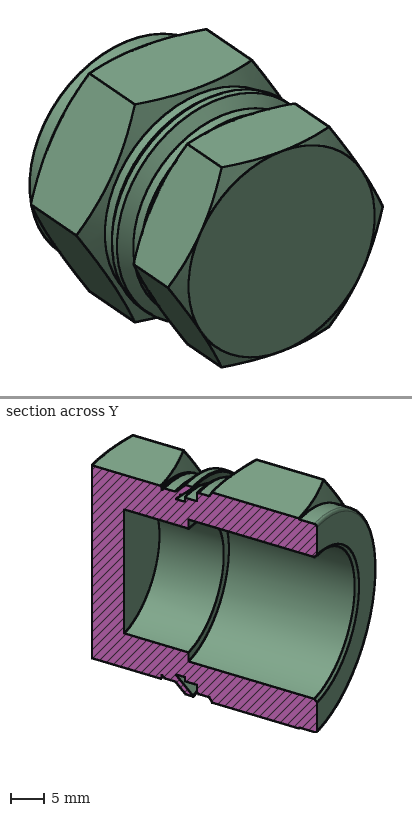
import cadquery as cq
import math

NUT_START = 3.05
NUT_COLLAR_START = 18.48
NUT_END = 20.6
FLANGE_START = 21.25
FLANGE_END = 22.52
NECK_LAND_END = 22.65
BODY_HEX_START = 26.6
LENGTH = 38.55

FRONT_COLLAR_DIA = 37.8
NUT_COLLAR_DIA = 36.5
GROOVE_DIA = 33.35
RECESS_NECK_DIA = 31.85
FLANGE_DIA = 38.0
SHOULDER_DIA = 34.5

NUT_ACROSS_CORNERS = 44.0
BODY_ACROSS_FLATS = 34.97
BODY_ACROSS_CORNERS = BODY_ACROSS_FLATS / math.cos(math.pi / 6)
HEX_CHAMFER_ANGLE = math.radians(30)

FLANGE_LIP = 0.2

FRONT_FILLET = 0.5
EDGE_CHAMFER = 0.5
NUT_END_CHAMFER_LENGTH = 0.3
NUT_END_CHAMFER_DEPTH = 0.18

SOCKET_DIA = 25.6
SOCKET_DEPTH = 22.0
INNER_BORE_DIA = 22.35
INNER_BORE_DEPTH = 33.0


def revolve_profile(points):
    """Turn a closed outline of (x, radius) points about the X axis."""
    return cq.Workplane("XY").polyline(points).close().revolve(360, (0, 0, 0), (1, 0, 0))


def cylinder(dia, start, end):
    """Cylinder about the X axis."""
    return cq.Workplane("YZ").workplane(offset=start).circle(dia / 2).extrude(end - start)


def chamfered_hex(across_corners, start, end, start_dia, end_dia):
    """Hexagon along X whose corners are cut back by a cone at each end."""
    corner_radius = across_corners / 2
    slope = math.tan(HEX_CHAMFER_ANGLE)
    start_run = (corner_radius - start_dia / 2) * slope
    end_run = (corner_radius - end_dia / 2) * slope
    prism = cq.Workplane("YZ").workplane(offset=start).polygon(6, across_corners).extrude(end - start)
    envelope = revolve_profile([
        (start, 0),
        (start, start_dia / 2),
        (start + start_run, corner_radius),
        (end - end_run, corner_radius),
        (end, end_dia / 2),
        (end, 0),
    ])
    return prism.intersect(envelope)


def make_nut():
    """Compression nut: front collar, hexagon and rear collar."""
    front_collar = cylinder(FRONT_COLLAR_DIA, 0, NUT_START).faces("<X").edges().fillet(FRONT_FILLET)
    hexagon = chamfered_hex(
        NUT_ACROSS_CORNERS, NUT_START, NUT_COLLAR_START, FRONT_COLLAR_DIA, NUT_COLLAR_DIA
    )
    rear_collar = revolve_profile([
        (NUT_COLLAR_START, 0),
        (NUT_COLLAR_START, NUT_COLLAR_DIA / 2),
        (NUT_END - NUT_END_CHAMFER_LENGTH, NUT_COLLAR_DIA / 2),
        (NUT_END, NUT_COLLAR_DIA / 2 - NUT_END_CHAMFER_DEPTH),
        (NUT_END, 0),
    ])
    return front_collar.union(hexagon).union(rear_collar)


def make_body():
    """Body: stepped neck, hollow flange with 45 degree cones, shoulder and hexagon."""
    recess_radius = FLANGE_DIA / 2 - FLANGE_LIP
    recess_end = FLANGE_START + recess_radius - RECESS_NECK_DIA / 2
    neck = cylinder(GROOVE_DIA, NUT_END, NECK_LAND_END)
    cone_end = FLANGE_END + (FLANGE_DIA - SHOULDER_DIA) / 2
    flange = revolve_profile([
        (FLANGE_START, 0),
        (FLANGE_START, RECESS_NECK_DIA / 2),
        (recess_end, RECESS_NECK_DIA / 2),
        (FLANGE_START, recess_radius),
        (FLANGE_START, FLANGE_DIA / 2),
        (FLANGE_END, FLANGE_DIA / 2),
        (cone_end, SHOULDER_DIA / 2),
        (BODY_HEX_START - EDGE_CHAMFER, SHOULDER_DIA / 2),
        (BODY_HEX_START, SHOULDER_DIA / 2 - EDGE_CHAMFER),
        (BODY_HEX_START, 0),
    ])
    hexagon = chamfered_hex(
        BODY_ACROSS_CORNERS, BODY_HEX_START, LENGTH, SHOULDER_DIA, BODY_ACROSS_FLATS
    )
    return neck.union(flange).union(hexagon)


def make_bore():
    """Pipe socket with a chamfered mouth, then a smaller blind bore."""
    return revolve_profile([
        (0, 0),
        (0, SOCKET_DIA / 2 + EDGE_CHAMFER),
        (EDGE_CHAMFER, SOCKET_DIA / 2),
        (SOCKET_DEPTH, SOCKET_DIA / 2),
        (SOCKET_DEPTH, INNER_BORE_DIA / 2),
        (INNER_BORE_DEPTH, INNER_BORE_DIA / 2),
        (INNER_BORE_DEPTH, 0),
    ])


result = make_nut().union(make_body()).cut(make_bore())